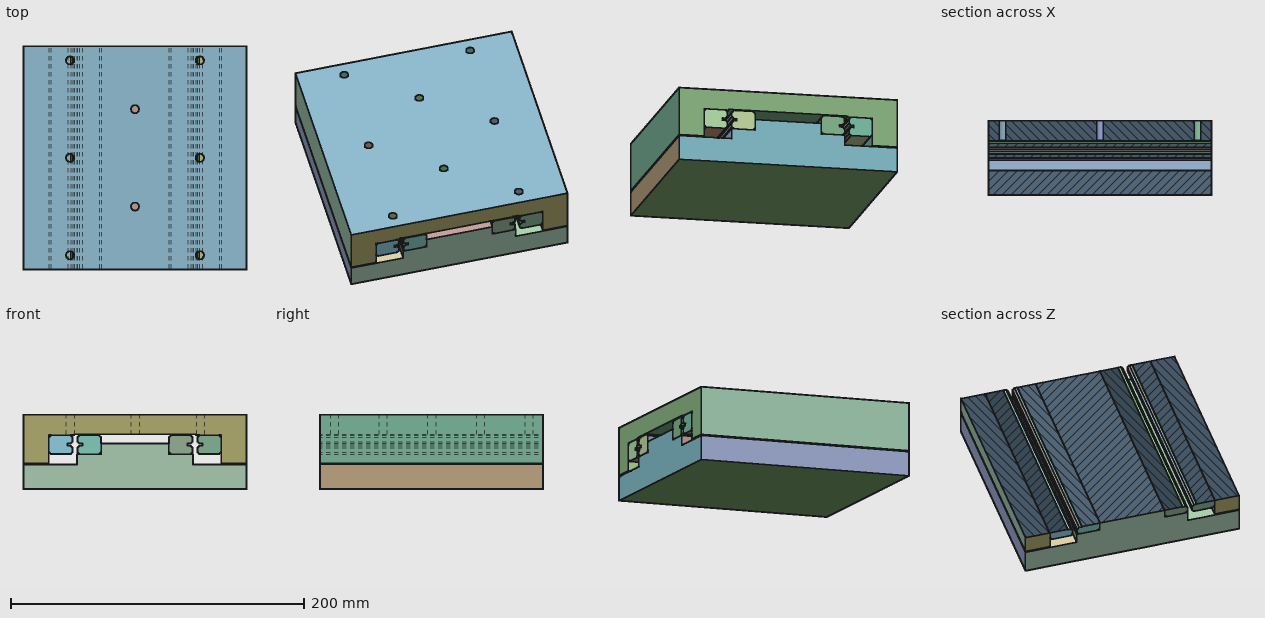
import cadquery as cq

width = 152.4
length = 152.4
height = 50.7

rail_width = 16.2
rail_height = 13.0
rail_bottom = 23.8
rail_top = rail_bottom + rail_height
rail_edge_chamfer = 1.4
outer_rail_back = 58.7
inner_rail_back = 23.2
vee_half_height = 2.1
relief_half_height = 0.69
relief_depth = 3.4

flange_top = 16.8
pedestal_half_width = 39.6
pedestal_top = 31.1

carriage_bottom = 17.5
ceiling_relief_half_width = 41.5
ceiling_relief_depth = 0.6
ceiling_relief_top = rail_top + ceiling_relief_depth

hole_diameter = 5.5
hole_column_x = 44.3
hole_row_pitch = 66.5
side_hole_points = [(x, row * hole_row_pitch) for x in (-hole_column_x, hole_column_x) for row in (-1, 0, 1)]
center_hole_points = [(0, -hole_row_pitch / 2), (0, hole_row_pitch / 2)]


def bar(x_min, x_max, z_min, z_max):
    """Full-length rectangular bar along Y, centred on Y = 0."""
    return (
        cq.Workplane("XY")
        .box(x_max - x_min, length, z_max - z_min, centered=(False, True, False))
        .translate((x_min, 0, z_min))
    )


def make_base():
    """Bottom plate with a raised pedestal that has a seat along each side for an inner rail."""
    base = bar(-width / 2, width / 2, 0, flange_top)
    base = base.union(bar(-pedestal_half_width, pedestal_half_width, flange_top, rail_bottom))
    return base.union(bar(-inner_rail_back, inner_rail_back, rail_bottom, pedestal_top))


def make_carriage():
    """Top block with a channel for the rails, a relieved ceiling and mounting holes."""
    carriage = bar(-width / 2, width / 2, carriage_bottom, height)
    carriage = carriage.cut(bar(-outer_rail_back, outer_rail_back, carriage_bottom, rail_top))
    carriage = carriage.cut(
        bar(-ceiling_relief_half_width, ceiling_relief_half_width, rail_top, ceiling_relief_top)
    )
    holes = (
        cq.Workplane("XY")
        .workplane(offset=rail_top)
        .pushPoints(side_hole_points + center_hole_points)
        .circle(hole_diameter / 2)
        .extrude(height - rail_top)
    )
    return carriage.cut(holes)


def make_rail(back_x, groove_direction):
    """Rail with its back face at back_x and its vee groove facing groove_direction (+1 or -1 in X)."""
    vee_depth = vee_half_height - relief_half_height
    groove_z = rail_bottom + rail_height / 2
    blank = bar(0, rail_width, rail_bottom, rail_top).edges("|Y").chamfer(rail_edge_chamfer)
    groove = (
        cq.Workplane("XZ", origin=(rail_width, length / 2, groove_z))
        .moveTo(0, vee_half_height)
        .lineTo(-vee_depth, relief_half_height)
        .lineTo(-relief_depth, relief_half_height)
        .lineTo(-relief_depth, -relief_half_height)
        .lineTo(-vee_depth, -relief_half_height)
        .lineTo(0, -vee_half_height)
        .close()
        .extrude(length)
    )
    rail = blank.cut(groove)
    if groove_direction < 0:
        rail = rail.mirror("YZ")
    return rail.translate((back_x, 0, 0))


base = make_base()
carriage = make_carriage()

rails = []
for side in (-1, 1):
    rails.append(make_rail(side * outer_rail_back, -side))
    rails.append(make_rail(side * inner_rail_back, side))

result = cq.Compound.makeCompound([base.val(), carriage.val(), *[rail.val() for rail in rails]])